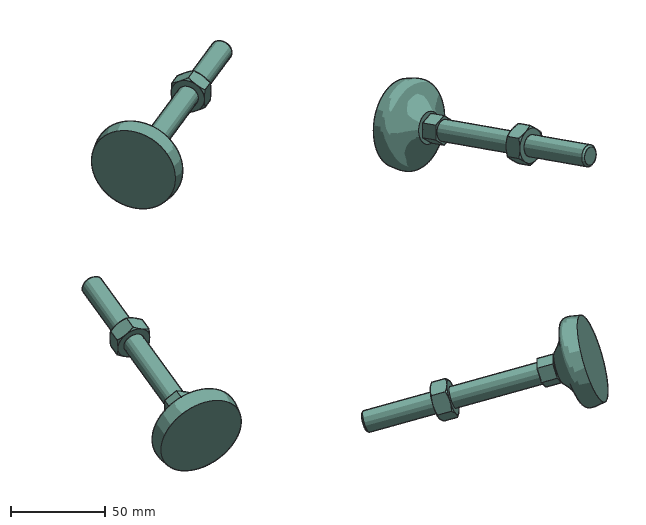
import cadquery as cq
import math


foot_diameter = 50.0
foot_base_diameter = 48.0
foot_taper_height = 5.8
foot_band_height = 7.75
foot_shoulder_diameter = 45.0
foot_shoulder_height = 10.9
foot_collar_diameter = 20.4
foot_collar_height = 17.5
foot_height = 18.8
collar_slope_angle = 45.0

thread_diameter = 12.0
thread_length = 100.0
thread_end_diameter = 9.85
neck_diameter = 10.0
stud_hex_start = 20.0
stud_hex_height = 9.0
stud_hex_across_flats = 14.0

nut_start = 79.0
nut_height = 9.5
nut_across_flats = 19.0
nut_chamfer_angle = 30.0

hex_half_angle = math.pi / 6
thread_start = stud_hex_start + stud_hex_height
thread_end = thread_start + thread_length


def hexagon(across_flats, start, height):
    """Hexagonal prism along +Y with two flats facing +X and -X."""
    across_corners = across_flats / math.cos(hex_half_angle)
    return (
        cq.Workplane("XZ", origin=(0, start, 0))
        .transformed(rotate=(0, 0, 90))
        .polygon(6, across_corners)
        .extrude(-height)
    )


def cylinder(diameter, start, end):
    """Round bar along +Y."""
    return cq.Workplane("XZ", origin=(0, start, 0)).circle(diameter / 2).extrude(start - end)


def shoulder_arc_middle():
    """Middle of the shoulder arc, which runs tangent into the straight band of the rim."""
    inward = (foot_diameter - foot_shoulder_diameter) / 2
    rise = foot_shoulder_height - foot_band_height
    arc_radius = (inward**2 + rise**2) / (2 * inward)
    half_sweep = math.atan2(rise, arc_radius - inward) / 2
    arc_center = foot_diameter / 2 - arc_radius
    return (
        arc_center + arc_radius * math.cos(half_sweep),
        foot_band_height + arc_radius * math.sin(half_sweep),
    )


def make_foot():
    """Round pad with a tapered rim, a rounded shoulder and a concave flank up to the collar."""
    collar_radius = foot_collar_diameter / 2
    collar_slope = math.radians(collar_slope_angle)
    top_radius = collar_radius - (foot_height - foot_collar_height) / math.tan(collar_slope)
    shoulder_radius = foot_shoulder_diameter / 2
    rim_radius = foot_diameter / 2
    return (
        cq.Workplane("XY")
        .moveTo(0, foot_height)
        .lineTo(top_radius, foot_height)
        .lineTo(collar_radius, foot_collar_height)
        .tangentArcPoint((shoulder_radius, foot_shoulder_height), relative=False)
        .threePointArc(shoulder_arc_middle(), (rim_radius, foot_band_height))
        .lineTo(rim_radius, foot_taper_height)
        .lineTo(foot_base_diameter / 2, 0)
        .lineTo(0, 0)
        .close()
        .revolve(360, (0, 0), (0, 1))
    )


def make_stud():
    """Neck, wrench hexagon and threaded rod with a chamfered free end."""
    neck = cylinder(neck_diameter, foot_height, stud_hex_start)
    wrench_hex = hexagon(stud_hex_across_flats, stud_hex_start, stud_hex_height)
    end_chamfer = (thread_diameter - thread_end_diameter) / 2
    rod = cylinder(thread_diameter, thread_start, thread_end).faces(">Y").chamfer(end_chamfer)
    return neck.union(wrench_hex).union(rod)


def make_nut():
    """Hexagon nut whose corners are turned off conically at both ends."""
    flat_radius = nut_across_flats / 2
    corner_radius = flat_radius / math.cos(hex_half_angle)
    corner_drop = (corner_radius - flat_radius) * math.tan(math.radians(nut_chamfer_angle))
    nut_end = nut_start + nut_height
    turned_envelope = (
        cq.Workplane("XY")
        .moveTo(0, nut_start)
        .lineTo(flat_radius, nut_start)
        .lineTo(corner_radius, nut_start + corner_drop)
        .lineTo(corner_radius, nut_end - corner_drop)
        .lineTo(flat_radius, nut_end)
        .lineTo(0, nut_end)
        .close()
        .revolve(360, (0, 0), (0, 1))
    )
    return hexagon(nut_across_flats, nut_start, nut_height).intersect(turned_envelope)


result = make_foot().union(make_stud()).union(make_nut())